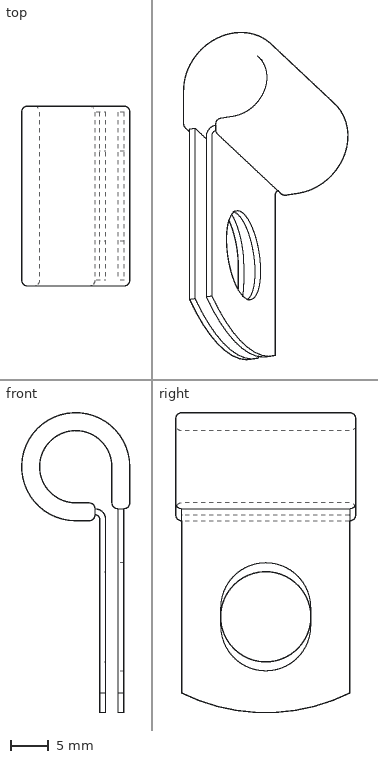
import cadquery as cq
import math


bore_radius = 4.7625
sheet = 0.8
cushion_width = 23.8125
lower_straight = 2.5625
bend_inner_radius = 0.6
tab_drop = 32.5375
tab_end_radius = 25.0
hole_drop = 19.84
hole_diameter = 11.9
slot_travel = 2.4

strap_inner_radius = bore_radius + sheet
strap_outer_radius = strap_inner_radius + sheet
cushion_radius = strap_outer_radius + sheet
strap_width = cushion_width - 2 * sheet
side_straight = bore_radius + sheet
bend_outer_radius = bend_inner_radius + sheet
bend_outer_x = lower_straight + bend_outer_radius
bend_inner_x = lower_straight + bend_inner_radius
bend_center_z = -strap_inner_radius - bend_outer_radius

loop_middle = 135
bend_middle = 45


def on_circle(radius, degrees, center_x=0, center_z=0):
    angle = math.radians(degrees)
    return (center_x + radius * math.cos(angle), center_z + radius * math.sin(angle))


def extrude_centered(outline, width):
    """Extrude a closed XZ outline symmetrically about the XZ plane."""
    return outline.close().extrude(width / 2, both=True)


def make_cushion():
    """Three-quarter tube with a straight run at each end and every corner rounded."""
    outline = (
        cq.Workplane("XZ")
        .moveTo(cushion_radius, -side_straight)
        .lineTo(cushion_radius, 0)
        .threePointArc(on_circle(cushion_radius, loop_middle), (0, -cushion_radius))
        .lineTo(lower_straight, -cushion_radius)
        .lineTo(lower_straight, -bore_radius)
        .lineTo(0, -bore_radius)
        .threePointArc(on_circle(bore_radius, loop_middle), (bore_radius, 0))
        .lineTo(bore_radius, -side_straight)
    )
    body = extrude_centered(outline, cushion_width)
    side_end = (bore_radius + cushion_radius) / 2, 0, -side_straight
    lower_end = lower_straight, 0, -(bore_radius + cushion_radius) / 2
    rounded_edges = body.faces("<Y or >Y").edges()
    for end_center in (side_end, lower_end):
        end_face = body.faces(cq.selectors.NearestToPointSelector(end_center))
        rounded_edges = rounded_edges.add(end_face.edges("|Y"))
    return rounded_edges.fillet(sheet)


def make_strap():
    """Sheet following the loop, bent down into two parallel tabs."""
    outline = (
        cq.Workplane("XZ")
        .moveTo(strap_outer_radius, -tab_drop)
        .lineTo(strap_outer_radius, 0)
        .threePointArc(on_circle(strap_outer_radius, loop_middle), (0, -strap_outer_radius))
        .lineTo(lower_straight, -strap_outer_radius)
        .threePointArc(
            on_circle(bend_inner_radius, bend_middle, lower_straight, bend_center_z),
            (bend_inner_x, bend_center_z),
        )
        .lineTo(bend_inner_x, -tab_drop)
        .lineTo(bend_outer_x, -tab_drop)
        .lineTo(bend_outer_x, bend_center_z)
        .threePointArc(
            on_circle(bend_outer_radius, bend_middle, lower_straight, bend_center_z),
            (lower_straight, -strap_inner_radius),
        )
        .lineTo(0, -strap_inner_radius)
        .threePointArc(on_circle(strap_inner_radius, loop_middle), (strap_inner_radius, 0))
        .lineTo(strap_inner_radius, -tab_drop)
    )
    return extrude_centered(outline, strap_width)


def make_tab_end_limit():
    """Block over the full height whose lower side is the arched end of the tabs."""
    half_width = strap_width / 2
    end_rise = tab_end_radius - math.sqrt(tab_end_radius**2 - half_width**2)
    corner_z = end_rise - tab_drop
    return (
        cq.Workplane("YZ")
        .moveTo(-half_width, cushion_radius)
        .lineTo(-half_width, corner_z)
        .threePointArc((0, -tab_drop), (half_width, corner_z))
        .lineTo(half_width, cushion_radius)
        .close()
        .extrude(cushion_radius, both=True)
    )


def make_round_hole():
    """Round hole through the bent tab on the -X side."""
    return (
        cq.Workplane("YZ", origin=(bend_inner_x, 0, -hole_drop))
        .circle(hole_diameter / 2)
        .extrude(sheet)
    )


def make_slotted_hole():
    """Slot along Z through the straight tab on the +X side, concentric with the round hole."""
    return (
        cq.Workplane("YZ", origin=(strap_inner_radius, 0, -hole_drop))
        .slot2D(hole_diameter + slot_travel, hole_diameter, 90)
        .extrude(sheet)
    )


strap = make_strap().intersect(make_tab_end_limit())
strap = strap.cut(make_round_hole()).cut(make_slotted_hole())
result = make_cushion().union(strap)